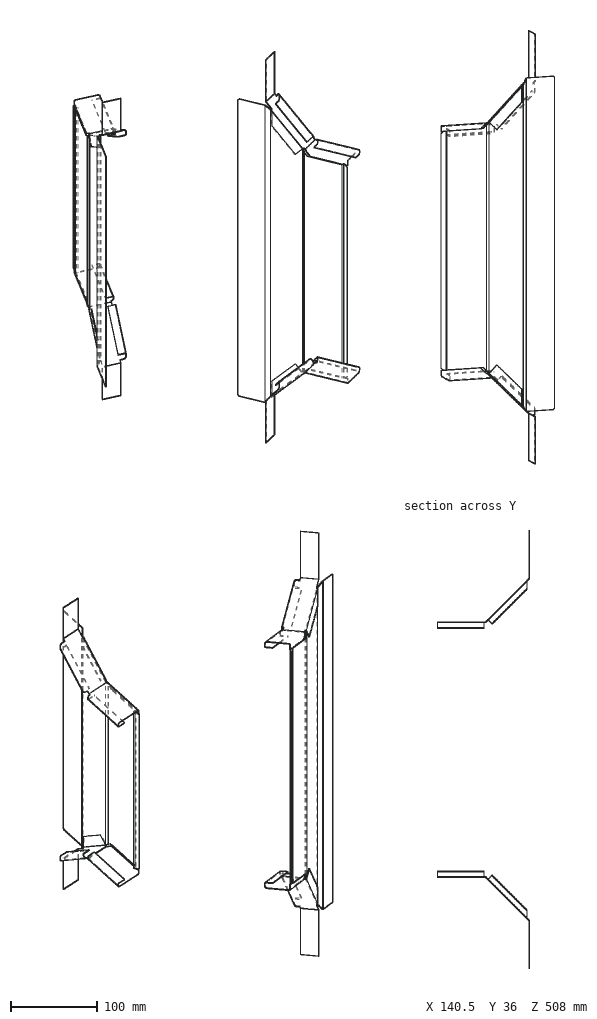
import cadquery as cq
import math

SHEET = 1.0
HALF_HEIGHT = 254.0
BACK_Y = 36.0

PANEL_RIGHT_X = 140.5
FLANGE_FRONT_Y = 0.0
SLOPE_RISE = 5.0
SLOPE_START_X = 100.0
FLANGE_HALF_HEIGHT = 197.0
FLANGE_CHAMFER = 1.5
JOGGLE_START_X = 56.0
JOGGLE_END_X = 58.5
HOOK_BEND_X = 6.5
HOOK_VALLEY_X = 5.5
HOOK_DEPTH = 2.5
HOOK_CHAMFER = 2.5
PANEL_HALF_HEIGHT = 141.5

WALL_Z = 148.5
KNEE_X = 56.0
TAB_X = 106.0
TAB_BACK_Y = 28.5

FOOT_BEND = 2.0
LIP_BEND = 3.5
RETURN_BEND = 2.0
SLANT_FOOT_WIDTH = 15.0
LIP_WIDTH = 7.5
RETURN_WIDTH = 10.0
LEVEL_FOOT_END_X = 55.5
LEVEL_LIP_END_X = 54.5
SLANT_FOOT_START = 2.0
SLANT_LIP_START = 3.5
SLANT_FOOT_END_X = 98.5
SLANT_LIP_END_X = 104.0

RECESSED_Y = FLANGE_FRONT_Y + SLOPE_RISE
FOOT_Y = RECESSED_Y - SHEET
RAISED_Y = FOOT_Y - SHEET
FLANGE_X = SLOPE_START_X + SLOPE_RISE
SLANT_LENGTH = (TAB_X - KNEE_X) * math.sqrt(2)
TAB_Z = WALL_Z + TAB_X - KNEE_X
WALL_FRONT_Y = FOOT_Y + FOOT_BEND
WALL_BACK_Y = BACK_Y - LIP_BEND
LEVEL_FOOT_WIDTH = WALL_Z - PANEL_HALF_HEIGHT

LEVEL_PLANE = cq.Plane((0, 0, WALL_Z), (0, 0, -1), (1, 0, 0))
SLANT_PLANE = cq.Plane((KNEE_X, 0, WALL_Z), (1, 0, -1), (1, 0, 1))


def offset_path(points, distance):
    """Mitred copy of an open path, moved to the left of its direction of travel."""
    normals = []
    for (x0, y0), (x1, y1) in zip(points, points[1:]):
        length = math.hypot(x1 - x0, y1 - y0)
        normals.append(((y0 - y1) / length, (x1 - x0) / length))
    before = [normals[0]] + normals
    after = normals + [normals[-1]]
    moved = []
    for (x, y), (ax, ay), (bx, by) in zip(points, before, after):
        mitre = distance / (1 + ax * bx + ay * by)
        moved.append((x + (ax + bx) * mitre, y + (ay + by) * mitre))
    return moved


def sheet_outline(points, thickness):
    """Closed outline of a folded sheet lying to the left of the path."""
    return points + offset_path(points, thickness)[::-1]


def xz_prism(points, y_start, y_end):
    """Polygon in the XZ plane, extruded from y_start to y_end."""
    plane = cq.Workplane("XZ", origin=(0, y_start, 0))
    return plane.polyline(points).close().extrude(y_start - y_end)


def face_panel():
    """Folded panel: hooked left edge, joggle at the knee, slope and right-hand flange."""
    front_path = [
        (0, RAISED_Y),
        (HOOK_VALLEY_X, RAISED_Y + HOOK_DEPTH),
        (HOOK_BEND_X, RAISED_Y),
        (JOGGLE_START_X, RAISED_Y),
        (JOGGLE_END_X, RECESSED_Y),
        (SLOPE_START_X, RECESSED_Y),
        (FLANGE_X, FLANGE_FRONT_Y),
        (PANEL_RIGHT_X, FLANGE_FRONT_Y),
    ]
    folded = (
        cq.Workplane("XY", origin=(0, 0, -HALF_HEIGHT))
        .polyline(sheet_outline(front_path, SHEET))
        .close()
        .extrude(2 * HALF_HEIGHT)
    )
    slant_offset = WALL_Z - KNEE_X - FOOT_BEND * math.sqrt(2)
    upper_edge = [
        (0, PANEL_HALF_HEIGHT - HOOK_CHAMFER),
        (HOOK_CHAMFER, PANEL_HALF_HEIGHT),
        (PANEL_HALF_HEIGHT - slant_offset, PANEL_HALF_HEIGHT),
        (SLOPE_START_X, SLOPE_START_X + slant_offset),
        (FLANGE_X, FLANGE_HALF_HEIGHT),
        (PANEL_RIGHT_X - FLANGE_CHAMFER, FLANGE_HALF_HEIGHT),
        (PANEL_RIGHT_X, FLANGE_HALF_HEIGHT - FLANGE_CHAMFER),
    ]
    lower_edge = [(x, -z) for x, z in reversed(upper_edge)]
    return folded.intersect(xz_prism(upper_edge + lower_edge, FLANGE_FRONT_Y, BACK_Y))


def beyond_x(x_start, y_start):
    """Block holding the upper half of space right of x_start and behind y_start."""
    size = 2 * HALF_HEIGHT
    return cq.Workplane("XY", origin=(x_start, y_start, 0)).box(size, size, size, centered=False)


def bracket_wall():
    """Level run, slanted run and tab, with the tab narrowed at the back."""
    path = [(TAB_X, HALF_HEIGHT), (TAB_X, TAB_Z), (KNEE_X, WALL_Z), (0, WALL_Z)]
    wall = xz_prism(sheet_outline(path, SHEET), WALL_FRONT_Y, WALL_BACK_Y)
    return wall.cut(beyond_x(SLANT_LIP_END_X, TAB_BACK_Y))


def foot(plane, start, end, width):
    """Flange bent inward from the front edge of a run."""
    inner_bend = FOOT_BEND - SHEET
    return (
        cq.Workplane(plane)
        .workplane(offset=start)
        .moveTo(width, FOOT_Y)
        .lineTo(FOOT_BEND, FOOT_Y)
        .radiusArc((0, WALL_FRONT_Y), FOOT_BEND)
        .lineTo(SHEET, WALL_FRONT_Y)
        .radiusArc((FOOT_BEND, FOOT_Y + SHEET), -inner_bend)
        .lineTo(width, FOOT_Y + SHEET)
        .close()
        .extrude(end - start)
    )


def lip(plane, start, end):
    """Flange bent inward from the back edge of a run, with a return toward the front."""
    inner_y = BACK_Y - SHEET
    return_y = BACK_Y - RETURN_WIDTH
    return (
        cq.Workplane(plane)
        .workplane(offset=start)
        .moveTo(0, WALL_BACK_Y)
        .radiusArc((LIP_BEND, BACK_Y), LIP_BEND)
        .lineTo(LIP_WIDTH - RETURN_BEND, BACK_Y)
        .radiusArc((LIP_WIDTH, BACK_Y - RETURN_BEND), RETURN_BEND)
        .lineTo(LIP_WIDTH, return_y)
        .lineTo(LIP_WIDTH - SHEET, return_y)
        .lineTo(LIP_WIDTH - SHEET, BACK_Y - RETURN_BEND)
        .radiusArc((LIP_WIDTH - RETURN_BEND, inner_y), SHEET - RETURN_BEND)
        .lineTo(LIP_BEND, inner_y)
        .radiusArc((SHEET, WALL_BACK_Y), SHEET - LIP_BEND)
        .close()
        .extrude(end - start)
    )


def level_foot():
    """Foot of the level run, its end mitred away from the knee."""
    mitre = [
        (LEVEL_FOOT_END_X, WALL_Z),
        (LEVEL_FOOT_END_X, WALL_Z - LEVEL_FOOT_WIDTH),
        (LEVEL_FOOT_END_X - LEVEL_FOOT_WIDTH, WALL_Z - LEVEL_FOOT_WIDTH),
    ]
    blank = foot(LEVEL_PLANE, 0, LEVEL_FOOT_END_X, LEVEL_FOOT_WIDTH)
    return blank.cut(xz_prism(mitre, FOOT_Y, WALL_FRONT_Y))


def slant_foot():
    """Foot of the slanted run, its upper end cut upright."""
    blank = foot(SLANT_PLANE, SLANT_FOOT_START, SLANT_LENGTH, SLANT_FOOT_WIDTH)
    return blank.cut(beyond_x(SLANT_FOOT_END_X, FLANGE_FRONT_Y))


def slant_lip():
    """Lip of the slanted run, its upper end cut upright."""
    blank = lip(SLANT_PLANE, SLANT_LIP_START, SLANT_LENGTH)
    return blank.cut(beyond_x(SLANT_LIP_END_X, FLANGE_FRONT_Y))


def end_bracket(upper):
    """One folded sheet; the lower bracket mirrors the upper one across Z = 0."""
    bracket = (
        bracket_wall()
        .union(level_foot())
        .union(lip(LEVEL_PLANE, 0, LEVEL_LIP_END_X))
        .union(slant_foot())
        .union(slant_lip())
    )
    return bracket if upper else bracket.mirror("XY")


panel = face_panel()
brackets = [end_bracket(upper) for upper in (True, False)]

result = cq.Compound.makeCompound([panel.val()] + [bracket.val() for bracket in brackets])